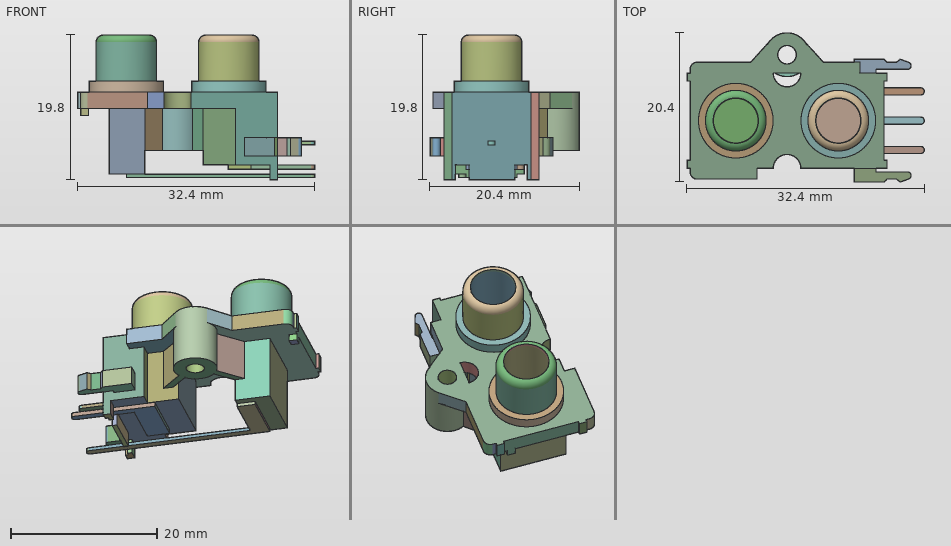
import cadquery as cq
import math


panel_thickness = 2.25
panel_half_length = 13.25
panel_half_width = 8.0
panel_corner_radius = 1.0
body_half_width = 6.5
front_tab_end_x = -4.1
back_edge_end_x = 9.95
ear_reach = 0.4
ear_width = 1.1
notch_radius = 1.87
end_x = panel_half_length + ear_reach
ear_inner_y = body_half_width - ear_width

tab_length = 1.1
tab_height = 0.95
tab_y_min = 3.7
tab_y_max = 4.85

jack_spacing = 14.0
collar_radius = 5.1
collar_height = 1.5
barrel_radius = 4.15
barrel_top_z = 7.8
barrel_rim_radius = 1.0
bore_radius = 3.05
bore_mouth_radius = 3.1
bore_mouth_depth = 0.4

lug_y = 9.0
lug_radius = 3.0
lug_base_half_width = 4.95
lug_hole_diameter = 2.5
post_bottom_z = -8.0

web_thickness = 1.0
web_angle = 45.0
web_offset = 0.4
web_length = 7.5

left_x_min, left_x_max = -9.35, -4.45
left_y_min, left_y_max = -4.95, 4.5
left_bottom_z = -11.2
right_x_min = 3.5
right_y_min, right_y_max = -4.8, 4.6
body_x_min = 7.9
body_bottom_z = -9.95

feet_x_min = 12.6
feet_bottom_z = -12.0
feet_y_ranges = [(-body_half_width, -4.95), (-3.05, 3.2), (4.85, body_half_width)]

clip_top_z = -6.2
clip_bottom_z = -8.75
clip_x_min = 9.15
clip_root_end_x = 12.15
clip_outer_y = 8.4
clip_waist_y = 8.0
clip_inner_y = 7.0
clip_tip_x = 16.95
clip_tip_length = 0.4
clip_waist_end_x = 14.95
clip_barb_x = 15.45

pin_width = 1.0
pin_pitch = 4.0
pin_tip_x = 18.75
ground_top_z = -6.7
ground_thickness = 0.5
right_contact_thickness = 0.6
left_contact_thickness = 0.47
contact_inner_y = pin_pitch - pin_width / 2
contact_outer_y = pin_pitch + pin_width / 2
right_contact_x_min = 6.9
right_contact_x_max = 10.05
left_contact_x_min = -7.0


def block(x_min, x_max, y_min, y_max, z_min, z_max):
    """Box between the given limits."""
    box = cq.Workplane("XY").box(x_max - x_min, y_max - y_min, z_max - z_min, centered=False)
    return box.translate((x_min, y_min, z_min))


def cylinder(x, y, radius, z_min, z_max):
    """Upright cylinder between two heights."""
    return cq.Workplane("XY", origin=(x, y, z_min)).circle(radius).extrude(z_max - z_min)


def make_lug():
    """Round-nosed lug whose straight sides run tangent into the nose."""
    rise = lug_y - panel_half_width
    slope = math.atan2(rise, lug_base_half_width) + math.asin(
        lug_radius / math.hypot(lug_base_half_width, rise)
    )
    tangent_x = lug_radius * math.sin(slope)
    tangent_y = lug_y + lug_radius * math.cos(slope)
    return (
        cq.Workplane("XY", origin=(0, 0, -panel_thickness))
        .moveTo(-lug_base_half_width, panel_half_width)
        .lineTo(-tangent_x, tangent_y)
        .threePointArc((0, lug_y + lug_radius), (tangent_x, tangent_y))
        .lineTo(lug_base_half_width, panel_half_width)
        .close()
        .extrude(panel_thickness)
    )


def make_panel():
    """Panel plate with stepped edges, left ears, lug and central notches."""
    outline = [
        (-panel_half_length, -panel_half_width),
        (front_tab_end_x, -panel_half_width),
        (front_tab_end_x, -body_half_width),
        (end_x, -body_half_width),
        (end_x, body_half_width),
        (back_edge_end_x, body_half_width),
        (back_edge_end_x, panel_half_width),
        (-panel_half_length, panel_half_width),
    ]
    panel = (
        cq.Workplane("XY", origin=(0, 0, -panel_thickness))
        .polyline(outline)
        .close()
        .extrude(panel_thickness)
        .edges("|Z and <X")
        .fillet(panel_corner_radius)
    )
    for y_min in (-body_half_width, ear_inner_y):
        ear = block(-end_x, -panel_half_length, y_min, y_min + ear_width, -panel_thickness, 0)
        panel = panel.union(ear)
    panel = panel.union(make_lug())

    notch_limits = block(
        -notch_radius, notch_radius, -body_half_width, body_half_width, -panel_thickness, 0
    )
    for y in (-body_half_width, body_half_width):
        notch = cylinder(0, y, notch_radius, -panel_thickness, 0)
        panel = panel.cut(notch.intersect(notch_limits))

    tab = block(
        -panel_half_length,
        -panel_half_length + tab_length,
        tab_y_min,
        tab_y_max,
        -panel_thickness - tab_height,
        -panel_thickness,
    )
    return panel.union(tab)


def make_jack(x):
    """Collar and round-rimmed barrel, bored down to the panel face with a tapered mouth."""
    profile = (
        cq.Workplane("XZ")
        .moveTo(bore_radius, 0)
        .lineTo(collar_radius, 0)
        .lineTo(collar_radius, collar_height)
        .lineTo(barrel_radius, collar_height)
        .lineTo(barrel_radius, barrel_top_z - barrel_rim_radius)
        .radiusArc((barrel_radius - barrel_rim_radius, barrel_top_z), -barrel_rim_radius)
        .lineTo(bore_mouth_radius, barrel_top_z)
        .lineTo(bore_radius, barrel_top_z - bore_mouth_depth)
        .close()
    )
    return profile.revolve(360, (0, 0, 0), (0, 1, 0)).translate((x, 0, 0))


def make_post():
    """Round post under the lug with a diagonal web to each side."""
    post = cylinder(0, lug_y, lug_radius, post_bottom_z, -panel_thickness)
    web = block(
        0,
        web_length,
        web_offset - web_thickness / 2,
        web_offset + web_thickness / 2,
        post_bottom_z,
        -panel_thickness,
    )
    right_web = web.rotate((0, 0, 0), (0, 0, 1), -web_angle).translate((0, lug_y, 0))
    return post.union(right_web).union(right_web.mirror("YZ"))


def make_housings():
    """Left housing, right housing and the right-hand body with its feet."""
    housings = block(
        left_x_min, left_x_max, left_y_min, left_y_max, left_bottom_z, -panel_thickness
    )
    right = block(
        right_x_min, body_x_min, right_y_min, right_y_max, body_bottom_z, -panel_thickness
    )
    body = block(
        body_x_min, end_x, -body_half_width, body_half_width, body_bottom_z, -panel_thickness
    )
    housings = housings.union(right).union(body)
    for y_min, y_max in feet_y_ranges:
        foot = block(feet_x_min, end_x, y_min, y_max, feet_bottom_z, body_bottom_z)
        housings = housings.union(foot)
    return housings


def make_clip():
    """Barbed snap clip on the +Y side of the body."""
    return (
        cq.Workplane("XY", origin=(0, 0, clip_bottom_z))
        .moveTo(clip_x_min, body_half_width)
        .lineTo(clip_x_min, clip_outer_y)
        .lineTo(panel_half_length, clip_outer_y)
        .lineTo(end_x, clip_waist_y)
        .lineTo(clip_waist_end_x, clip_waist_y)
        .lineTo(clip_barb_x, clip_outer_y)
        .lineTo(clip_tip_x - clip_tip_length, clip_waist_y)
        .threePointArc(
            (clip_tip_x, (clip_waist_y + clip_inner_y) / 2),
            (clip_tip_x - clip_tip_length, clip_inner_y),
        )
        .lineTo(clip_root_end_x, clip_inner_y)
        .lineTo(clip_root_end_x, body_half_width)
        .close()
        .extrude(clip_top_z - clip_bottom_z)
    )


def make_pin(x_min, y, top_z, thickness):
    """Flat pin along X with a round tip."""
    tip_radius = pin_width / 2
    z_min = top_z - thickness
    shank = block(x_min, pin_tip_x - tip_radius, y - tip_radius, y + tip_radius, z_min, top_z)
    return shank.union(cylinder(pin_tip_x - tip_radius, y, tip_radius, z_min, top_z))


def make_contacts():
    """Ground pin and the two signal contacts, each with its cross strip."""
    ground = make_pin(body_x_min, 0, ground_top_z, ground_thickness)

    right_pin = make_pin(right_contact_x_min, pin_pitch, body_bottom_z, right_contact_thickness)
    right_strip = block(
        right_contact_x_min,
        right_contact_x_max,
        -contact_inner_y,
        contact_outer_y,
        body_bottom_z - right_contact_thickness,
        body_bottom_z,
    )

    left_pin = make_pin(left_contact_x_min, -pin_pitch, left_bottom_z, left_contact_thickness)
    left_strip = block(
        left_contact_x_min,
        left_x_max,
        -contact_outer_y,
        contact_inner_y,
        left_bottom_z - left_contact_thickness,
        left_bottom_z,
    )
    return ground.union(right_pin).union(right_strip).union(left_pin).union(left_strip)


result = make_panel().union(make_post()).union(make_housings())
end_recess = block(panel_half_length, end_x, -ear_inner_y, ear_inner_y, feet_bottom_z, 0)
lug_hole = cylinder(0, lug_y, lug_hole_diameter / 2, post_bottom_z, 0)
result = result.cut(end_recess).cut(lug_hole)

for jack_x in (-jack_spacing / 2, jack_spacing / 2):
    result = result.union(make_jack(jack_x))

back_clip = make_clip()
result = result.union(back_clip).union(back_clip.mirror("XZ"))
result = result.union(make_contacts())